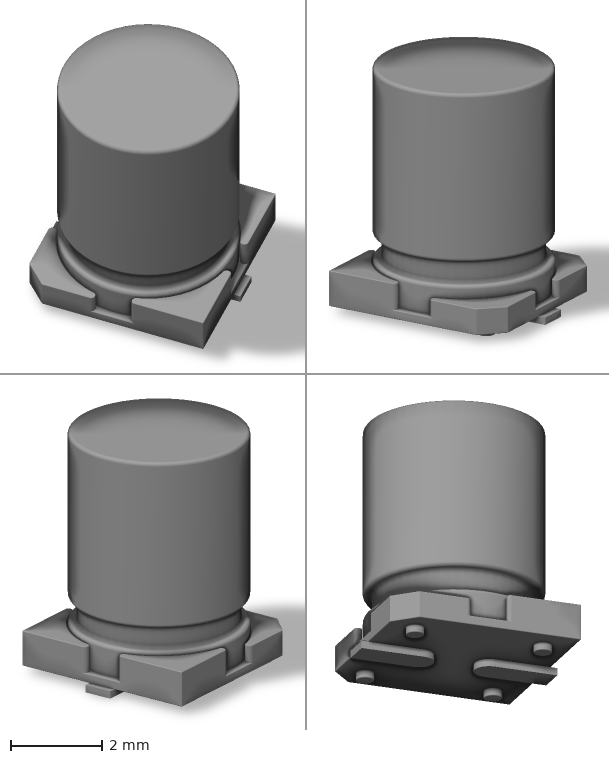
import cadquery as cq

total_height = 5.5
lead_span = 4.6

base_width = 4.3
base_bottom = 0.17
low_top = 0.78
high_top = 0.99
corner_chamfer = 0.5
base_edge_round = 0.02

slot_width = 0.87
slot_floor = 0.375
slot_corner_round = 0.09
pocket_clearance = 0.03

can_diameter = 4.0
neck_diameter = 3.6
groove_bottom = 1.08
groove_top = 1.62
can_round = 0.08

lead_width = 0.665
lead_inner_end = 0.49
pin_diameter = 0.4
pin_offset = 1.5
pin_edge_round = 0.02

tolerance = 0.0005

base_half = base_width / 2
pocket_diameter = can_diameter + 2 * pocket_clearance


def make_base():
    """Base that is low on the -X half and high on the +X half, slotted on all four sides."""
    base = cq.Workplane("XY").workplane(offset=base_bottom)
    base = base.rect(base_width, base_width).extrude(high_top - base_bottom)
    base = base.edges("|Z and <X").chamfer(corner_chamfer)
    above_low = cq.Workplane("XY").workplane(offset=low_top).center(-base_half / 2, 0)
    base = base.cut(above_low.rect(base_half, base_width).extrude(high_top - low_top))

    cut_depth = high_top - slot_floor
    floor = cq.Workplane("XY").workplane(offset=slot_floor)
    base = base.cut(floor.rect(base_width, slot_width).extrude(cut_depth))
    base = base.cut(floor.rect(slot_width, base_width).extrude(cut_depth))
    base = base.cut(floor.circle(pocket_diameter / 2).extrude(cut_depth))
    return round_base(base)


def nearest_axis_distance(edge):
    """Distance from an edge's middle to the nearer of the X and Y axes, in plan."""
    centre = edge.Center()
    return min(abs(centre.x), abs(centre.y))


def at_height(edge, height):
    """True when the middle of an edge lies at the given height."""
    return abs(edge.Center().z - height) < tolerance


def round_base(base):
    """Round the slot walls into the outer faces and the pocket, then the outer edges."""
    slot_reach = slot_width / 2 + tolerance
    uprights = base.edges("|Z").vals()
    wall_corners = [edge for edge in uprights if nearest_axis_distance(edge) < slot_reach]
    base = base.newObject(wall_corners).fillet(slot_corner_round)

    uprights = base.edges("|Z").vals()
    block_corners = [edge for edge in uprights if nearest_axis_distance(edge) > slot_width]

    rims = base.faces("<Z or >Z").edges().vals()
    rims += [edge for edge in base.edges().vals() if at_height(edge, low_top)]

    sides = base.faces("<X or >X or <Y or >Y")
    sills = [edge for edge in sides.edges().vals() if at_height(edge, slot_floor)]

    return base.newObject(block_corners + rims + sills).fillet(base_edge_round)


def make_can():
    """Can standing on the slot floor, with a neck groove and rounded rims."""
    floor = cq.Workplane("XY").workplane(offset=slot_floor)
    can = floor.circle(can_diameter / 2).extrude(total_height - slot_floor)
    groove = (
        cq.Workplane("XY")
        .workplane(offset=groove_bottom)
        .circle(can_diameter)
        .circle(neck_diameter / 2)
        .extrude(groove_top - groove_bottom)
    )
    can = can.cut(groove)
    return can.edges("%CIRCLE").edges("not <Z").fillet(can_round)


def make_leads():
    """Two flat leads on the X axis, each with a full-round inner end."""
    end_radius = lead_width / 2
    arc_start = lead_inner_end + end_radius
    lead = (
        cq.Workplane("XY")
        .moveTo(lead_span / 2, -end_radius)
        .lineTo(lead_span / 2, end_radius)
        .lineTo(arc_start, end_radius)
        .threePointArc((lead_inner_end, 0), (arc_start, -end_radius))
        .close()
        .extrude(base_bottom)
    )
    return lead.union(lead.mirror("YZ"))


def add_pins(base):
    """Add four round standoff pins under the base corners, rounded at root and tip."""
    pins = cq.Workplane("XY").rect(2 * pin_offset, 2 * pin_offset, forConstruction=True).vertices()
    pins = pins.circle(pin_diameter / 2).extrude(base_bottom)
    part = base.union(pins)
    reach = pin_offset + tolerance
    pin_zone = cq.selectors.BoxSelector((-reach, -reach, -tolerance), (reach, reach, base_bottom + tolerance))
    return part.edges("%CIRCLE").edges(pin_zone).fillet(pin_edge_round)


result = add_pins(make_base()).union(make_can()).union(make_leads())